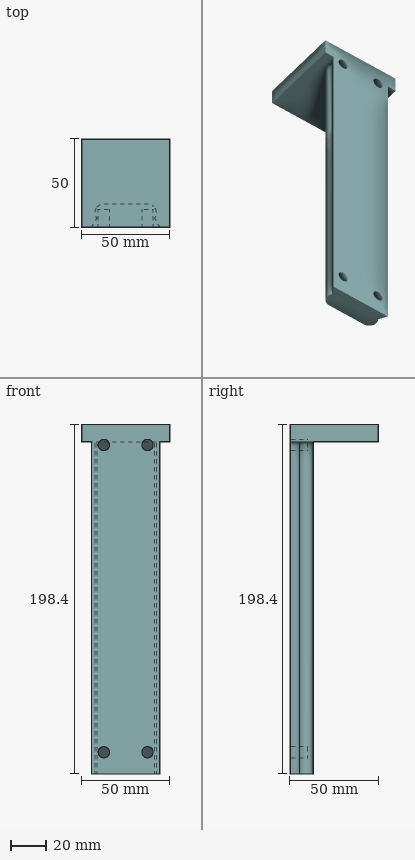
import cadquery as cq
import math

plate_size = 50.0
plate_thickness = 10.0
total_height = 198.4
post_height = total_height - plate_thickness

dovetail_width = 38.8
flank_angle = 30.0
lobe_radius = 5.0
lobe_spacing = 24.8
post_depth = 13.2
lobe_center_y = post_depth - lobe_radius

flank_run = lobe_center_y * math.tan(math.radians(flank_angle))
buried_half_width = dovetail_width / 2 - flank_run

hole_diameter = 6.4
hole_depth = 10.0
hole_spacing = lobe_spacing
hole_inset_top = 11.7
hole_inset_bottom = 12.4


def make_plate():
    """Square cap plate with its front face at Y = 0."""
    return (
        cq.Workplane("XY")
        .workplane(offset=post_height)
        .center(0, plate_size / 2)
        .rect(plate_size, plate_size)
        .extrude(plate_thickness)
    )


def make_dovetail():
    """Front strip of the post, whose flanks slant inward toward the rear."""
    return (
        cq.Workplane("XY")
        .moveTo(-dovetail_width / 2, 0)
        .lineTo(dovetail_width / 2, 0)
        .lineTo(buried_half_width, lobe_center_y)
        .lineTo(-buried_half_width, lobe_center_y)
        .close()
        .extrude(post_height)
    )


def make_lobe(side):
    """Upright cylinder rounding one side of the web; side is -1 or 1."""
    lobe = cq.Workplane("XY").circle(lobe_radius).extrude(post_height)
    if side < 0:
        lobe = lobe.mirror("YZ")
    return lobe.translate((side * lobe_spacing / 2, lobe_center_y, 0))


def make_web():
    """Solid web between the lobe centres, from the dovetail to the flat back."""
    return (
        cq.Workplane("XY")
        .center(0, lobe_center_y + lobe_radius / 2)
        .rect(lobe_spacing, lobe_radius)
        .extrude(post_height)
    )


def cut_holes(body):
    """Cut the four blind holes, running in +Y from the front face."""
    depth_axis = cq.Vector(0, 1, 0)
    for x in (-hole_spacing / 2, hole_spacing / 2):
        for z in (hole_inset_bottom, total_height - hole_inset_top):
            mouth = cq.Vector(x, 0, z)
            hole = cq.Solid.makeCylinder(hole_diameter / 2, hole_depth, mouth, depth_axis)
            body = body.cut(hole, clean=False)
    return body


result = make_plate().union(make_dovetail())
result = result.union(make_web(), clean=False)
for lobe_side in (-1, 1):
    result = result.union(make_lobe(lobe_side), clean=False)
result = cut_holes(result)